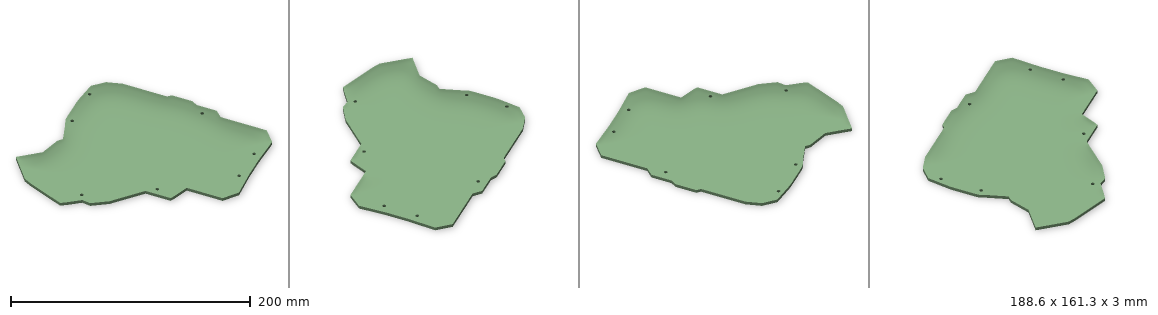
import cadquery as cq

LENGTH = 188.62
WIDTH = 161.25
THICKNESS = 3.0
HOLE_DIAMETER = 3.0

RIGHT = LENGTH / 2
LEFT = -RIGHT
BACK = WIDTH / 2
FRONT = -BACK

BACK_EDGE_Y = 77.7
BACK_RIGHT_Y = 71.7
FRONT_RIGHT_Y = -21.2
FRONT_RIGHT_DIP = 0.1
FRONT_STEP_Y = -38.4
LEFT_EDGE_X = -75.2
RIGHT_WAIST_X = 93.1
RIGHT_CHAMFER_X = 84.5

LEFT_SIDE = [
    (LEFT, -42.1),
    (-85.8, -35.5),
    (-76.1, -27.8),
    (-70.6, -9.6),
    (-67.2, -6.0),
    (-72.7, 11.3),
    (-75.0, 17.1),
    (LEFT_EDGE_X, 21.8),
    (LEFT_EDGE_X, 40.8),
    (-75.0, 44.9),
    (-72.5, 64.7),
    (-62.6, 74.0),
]
BACK_SIDE = [
    (-49.2, BACK_EDGE_Y),
    (-8.8, BACK_EDGE_Y),
    (-5.8, BACK),
    (12.9, BACK),
    (18.1, BACK_EDGE_Y),
    (36.3, BACK_EDGE_Y),
    (42.6, BACK_RIGHT_Y),
    (RIGHT_CHAMFER_X, BACK_RIGHT_Y),
]
RIGHT_SIDE = [
    (RIGHT, 60.1),
    (RIGHT_WAIST_X, 34.8),
    (RIGHT_WAIST_X, 15.0),
    (RIGHT, -9.2),
]
FRONT_SIDE = [
    (RIGHT_CHAMFER_X, FRONT_RIGHT_Y - FRONT_RIGHT_DIP),
    (81.5, FRONT_RIGHT_Y),
    (52.0, FRONT_RIGHT_Y),
    (46.2, -35.6),
    (44.8, FRONT_STEP_Y),
    (22.0, FRONT_STEP_Y),
    (2.1, -59.5),
    (-0.2, -62.1),
    (-14.3, -70.9),
    (-21.9, -69.9),
    (-32.7, -77.7),
    (-37.4, FRONT),
    (-69.5, -68.0),
    (-76.5, -64.5),
]

HOLE_CENTRES = [
    (-69.2, 54.6),
    (-69.2, 18.1),
    (26.6, 69.9),
    (86.5, 40.4),
    (86.0, 10.2),
    (30.1, -32.4),
    (-24.9, -64.1),
]


def make_plate():
    outline = LEFT_SIDE + BACK_SIDE + RIGHT_SIDE + FRONT_SIDE
    return cq.Workplane("XY").polyline(outline).close().extrude(THICKNESS)


def drill_holes(plate):
    top = plate.faces(">Z").workplane(origin=(0, 0, 0))
    return top.pushPoints(HOLE_CENTRES).hole(HOLE_DIAMETER)


result = drill_holes(make_plate())